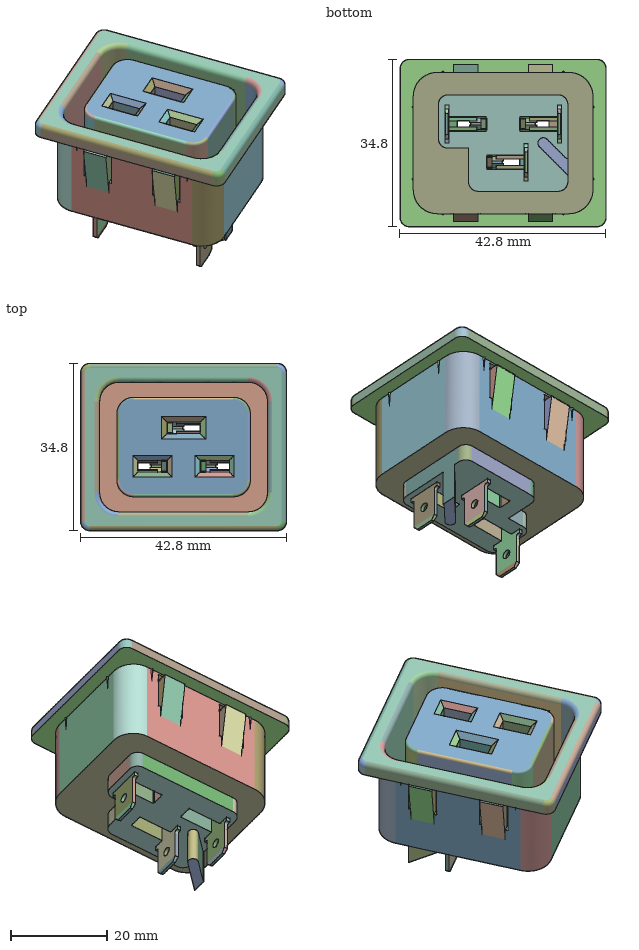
import cadquery as cq
import math

FLANGE_X = 42.8
FLANGE_Y = 34.8
FLANGE_THICK = 3.0
FLANGE_CORNER = 1.95
EDGE_ROUND = 1.0

BODY_X = 37.32
BODY_Y = 29.35
BODY_CORNER = 5.0
BODY_BOTTOM = -23.03
WALL = 1.25

CAVITY_X = BODY_X - 2 * WALL
CAVITY_Y = BODY_Y - 2 * WALL
CAVITY_CORNER = 4.0
CAVITY_FLOOR = BODY_BOTTOM + WALL

CORE_X = 27.75
CORE_Y = 20.67
CORE_CORNER = 3.5
CORE_ROUND = 0.5

BLOCK_X = 26.88
BLOCK_Y = 20.05
BLOCK_CORNER = 2.0
BLOCK_BOTTOM = -27.05
NOTCH_FRONT = 1.05
NOTCH_RIGHT = -7.2

BARRIER_NOSE_X = 7.25
BARRIER_RADIUS = 1.1
BARRIER_LIP = 0.3
BARRIER_BOTTOM = -35.52

SNAP_X = 7.75
SNAP_WIDTH = 5.05
SNAP_TOP = -4.5
SNAP_FOOT = -15.25
SNAP_REACH = 1.63
WINDOW_WIDTH = 6.15
WINDOW_TOP = -3.5
WINDOW_BOTTOM = -12.5

RIB_X = 12.5
RIB_Y = 7.5
RIB_HALF_WIDTH = 0.28
RIB_HEIGHT = 0.25
RIB_TIP = -6.3

ROW_Y = 4.0
LOWER_SLOT_X = 6.45
LOWER_SLOT_LENGTH = 6.05
LOWER_SLOT_BEVEL = 1.03
EARTH_SLOT_LENGTH = 6.9
EARTH_SLOT_BEVEL = 1.15
SLOT_WIDTH = 2.4

TAB_THICK = 0.8
TAB_WIDTH = 6.2
TAB_BOTTOM = -36.0
TAB_BEVEL = 0.95
TAB_TIP_STEP = 0.13
HOLE_DIAMETER = 1.93
HOLE_Z = -31.45
SHOULDER_WIDTH = 7.88
SHOULDER_BOTTOM = -28.0
SHOULDER_ROUND = 0.43
STEM_TOP = -12.85

LOWER_TAB_X = 11.7
EARTH_TAB_X = 4.8

WEB_START = -8.17
WEB_END = -7.05
WEB_HALF_WIDTH = 1.03
WEB_TOP = -12.0
SPRING_TOP = -14.2
SHEET = 0.4
MOUTH_END = -6.25
TONGUE_END = -4.65
MOUTH_HALF_WIDTH = 1.25
ARM_OUTER = 1.35
ARM_CREASE = 0.9
ARM_INNER = 0.65
ARM_LIP_DROP = 0.13
ARM_HEIGHT = 1.7
TROUGH_HALF_WIDTH = 0.25
TROUGH_DEPTH = 0.85
NOTCH_LENGTH = 0.3
PASSAGE_HALF_WIDTH = 1.55

TERMINAL_PLACES = [
    (-LOWER_TAB_X, -ROW_Y, 180),
    (LOWER_TAB_X, -ROW_Y, 0),
    (EARTH_TAB_X, ROW_Y, 0),
]
SLOTS = [
    (-LOWER_SLOT_X, -ROW_Y, LOWER_SLOT_LENGTH, LOWER_SLOT_BEVEL),
    (LOWER_SLOT_X, -ROW_Y, LOWER_SLOT_LENGTH, LOWER_SLOT_BEVEL),
    (0, ROW_Y, EARTH_SLOT_LENGTH, EARTH_SLOT_BEVEL),
]


def span_box(x0, x1, y0, y1, z0, z1):
    """Box between two limits on each axis."""
    return cq.Workplane("XY").box(x1 - x0, y1 - y0, z1 - z0, centered=False).translate((x0, y0, z0))


def rounded_block(length, width, corner, bottom, top):
    """Upright block centred on the Z axis with rounded vertical edges."""
    block = cq.Workplane("XY").workplane(offset=bottom).rect(length, width).extrude(top - bottom)
    return block.edges("|Z").fillet(corner)


def placed(shape, place):
    """Turn and move a shape built around a tab at the origin to one of the terminal places."""
    x, y, turn = place
    return shape.rotate((0, 0, 0), (0, 0, 1), turn).translate((x, y, 0))


def make_shell():
    """Flanged body with its open cavity."""
    flange = rounded_block(FLANGE_X, FLANGE_Y, FLANGE_CORNER, -FLANGE_THICK, 0)
    flange = flange.faces(">Z").edges().fillet(EDGE_ROUND)
    body = rounded_block(BODY_X, BODY_Y, BODY_CORNER, BODY_BOTTOM, -FLANGE_THICK)
    cavity = rounded_block(CAVITY_X, CAVITY_Y, CAVITY_CORNER, CAVITY_FLOOR, 0)
    shell = flange.union(body).cut(cavity)
    mouth = cq.selectors.BoxSelector(
        (-BODY_X / 2, -BODY_Y / 2, -EDGE_ROUND / 2),
        (BODY_X / 2, BODY_Y / 2, EDGE_ROUND / 2),
    )
    return shell.faces(">Z").edges(mouth).fillet(EDGE_ROUND)


def make_core():
    """Island in the cavity that carries the blade slots."""
    core = rounded_block(CORE_X, CORE_Y, CORE_CORNER, BODY_BOTTOM, 0)
    return core.faces(">Z").edges().fillet(CORE_ROUND)


def make_terminal_block():
    """Block below the body with its -X, +Y corner cut back."""
    half_x = BLOCK_X / 2
    half_y = BLOCK_Y / 2
    outline = [
        (-half_x, -half_y),
        (half_x, -half_y),
        (half_x, half_y),
        (NOTCH_RIGHT, half_y),
        (NOTCH_RIGHT, NOTCH_FRONT),
        (-half_x, NOTCH_FRONT),
    ]
    block = cq.Workplane("XY").workplane(offset=BLOCK_BOTTOM).polyline(outline).close()
    block = block.extrude(BODY_BOTTOM - BLOCK_BOTTOM)
    upright_edges = cq.selectors.StringSyntaxSelector("|Z")
    middle_z = (BLOCK_BOTTOM + BODY_BOTTOM) / 2
    inner_corner = cq.selectors.NearestToPointSelector((NOTCH_RIGHT, NOTCH_FRONT, middle_z))
    return block.edges(upright_edges - inner_corner).fillet(BLOCK_CORNER)


def make_barrier():
    """Round-nosed diagonal wall that separates the earth tab from the +X tab."""
    slant = BARRIER_RADIUS * math.sqrt(0.5)
    nose_x = BARRIER_NOSE_X + BARRIER_RADIUS
    end_x = BLOCK_X / 2
    lip_x = end_x - BARRIER_LIP
    lip_y = lip_x - nose_x - 2 * slant
    rear_y = end_x - nose_x + 2 * slant
    barrier = (
        cq.Workplane("XY").workplane(offset=BARRIER_BOTTOM)
        .moveTo(nose_x - slant, slant)
        .threePointArc((nose_x - slant, -slant), (nose_x + slant, -slant))
        .lineTo(lip_x, lip_y)
        .lineTo(end_x, lip_y)
        .lineTo(end_x, rear_y)
        .close()
    )
    return barrier.extrude(BLOCK_BOTTOM - BARRIER_BOTTOM)


def make_snap_window():
    """Opening in the -Y wall around one snap finger."""
    half = WINDOW_WIDTH / 2
    outer = -BODY_Y / 2
    return span_box(-half, half, outer, outer + WALL, WINDOW_BOTTOM, WINDOW_TOP)


def make_snap_finger():
    """Wedge-shaped finger of the -Y wall, free at its top end."""
    outer = -BODY_Y / 2
    profile = [
        (outer + WALL, SNAP_TOP),
        (outer - SNAP_REACH, SNAP_TOP),
        (outer, SNAP_FOOT),
        (outer + WALL, SNAP_FOOT),
    ]
    return cq.Workplane("YZ").polyline(profile).close().extrude(SNAP_WIDTH / 2, both=True)


def make_crush_rib():
    """Tapered rib pointing to -Y from a wall at Y = 0, ending in a tip on the wall."""
    base = [(-RIB_HALF_WIDTH, 0), (0, -RIB_HEIGHT), (RIB_HALF_WIDTH, 0)]
    corners = [cq.Vector(x, y, -FLANGE_THICK) for x, y in base]
    tip = cq.Vector(0, 0, RIB_TIP)
    triangles = [
        (corners[0], corners[1], corners[2]),
        (corners[0], corners[1], tip),
        (corners[1], corners[2], tip),
        (corners[2], corners[0], tip),
    ]
    faces = [cq.Face.makeFromWires(cq.Wire.makePolygon(points, close=True)) for points in triangles]
    return cq.Workplane(cq.Solid.makeSolid(cq.Shell.makeShell(faces)))


def make_slot(length, bevel):
    """Blade slot with a 45 degree bevelled mouth, down to the contact pocket."""
    slot = span_box(-length / 2, length / 2, -SLOT_WIDTH / 2, SLOT_WIDTH / 2, BLOCK_BOTTOM, 0)
    mouth = (
        cq.Workplane("XY").rect(length + 2 * bevel, SLOT_WIDTH + 2 * bevel)
        .workplane(offset=-bevel).rect(length, SLOT_WIDTH).loft(ruled=True)
    )
    return slot.union(mouth)


def make_terminal_pocket():
    """Room for one terminal: a passage for the spring and a close slit for the tab stem."""
    face = TAB_THICK / 2
    half = PASSAGE_HALF_WIDTH
    passage = span_box(WEB_START, face, -half, half, BLOCK_BOTTOM, WEB_TOP)
    slit = span_box(-face, face, -SHOULDER_WIDTH / 2, SHOULDER_WIDTH / 2, BLOCK_BOTTOM, STEM_TOP)
    return passage.union(slit)


def make_housing():
    """Whole moulded housing with its wall features, blade slots and terminal pockets."""
    housing = make_shell().union(make_core()).union(make_terminal_block()).union(make_barrier())
    for turn in (0, 180):
        for side in (-1, 1):
            window = make_snap_window().translate((side * SNAP_X, 0, 0))
            finger = make_snap_finger().translate((side * SNAP_X, 0, 0))
            long_rib = make_crush_rib().translate((side * RIB_X, -BODY_Y / 2, 0))
            short_rib = make_crush_rib().translate((side * RIB_Y, -BODY_X / 2, 0))
            short_rib = short_rib.rotate((0, 0, 0), (0, 0, 1), 90)
            housing = housing.cut(window.rotate((0, 0, 0), (0, 0, 1), turn))
            for added in (finger, long_rib, short_rib):
                housing = housing.union(added.rotate((0, 0, 0), (0, 0, 1), turn))
    for x, y, length, bevel in SLOTS:
        housing = housing.cut(make_slot(length, bevel).translate((x, y, 0)))
    for place in TERMINAL_PLACES:
        housing = housing.cut(placed(make_terminal_pocket(), place))
    return housing


def make_tab():
    """Flat tab with shoulders, bevelled end and hole, in the plane X = 0."""
    half_tab = TAB_WIDTH / 2
    half_stem = SHOULDER_WIDTH / 2
    bevel_z = TAB_BOTTOM + TAB_BEVEL
    fillet_z = SHOULDER_BOTTOM - SHOULDER_ROUND
    fillet_y = half_tab + SHOULDER_ROUND
    arc_sag = SHOULDER_ROUND * (1 - math.sqrt(0.5))
    tab = (
        cq.Workplane("YZ")
        .moveTo(-half_stem, STEM_TOP)
        .lineTo(-half_stem, SHOULDER_BOTTOM)
        .lineTo(-fillet_y, SHOULDER_BOTTOM)
        .threePointArc((-half_tab - arc_sag, SHOULDER_BOTTOM - arc_sag), (-half_tab, fillet_z))
        .lineTo(-half_tab, bevel_z)
        .lineTo(-half_tab + TAB_BEVEL, TAB_BOTTOM)
        .lineTo(half_tab - TAB_BEVEL, TAB_BOTTOM)
        .lineTo(half_tab, bevel_z)
        .lineTo(half_tab, fillet_z)
        .threePointArc((half_tab + arc_sag, SHOULDER_BOTTOM - arc_sag), (fillet_y, SHOULDER_BOTTOM))
        .lineTo(half_stem, SHOULDER_BOTTOM)
        .lineTo(half_stem, STEM_TOP)
        .close()
        .extrude(TAB_THICK / 2, both=True)
    )
    hole = cq.Workplane("YZ").center(0, HOLE_Z).circle(HOLE_DIAMETER / 2).extrude(TAB_THICK, both=True)
    face = TAB_THICK / 2
    tip = [(face, bevel_z), (face, TAB_BOTTOM), (face - TAB_TIP_STEP, TAB_BOTTOM)]
    tip_cut = cq.Workplane("XZ").polyline(tip).close().extrude(half_tab, both=True)
    return tab.cut(hole).cut(tip_cut).cut(tip_cut.mirror("YZ"))


def make_web():
    """Steep sheet that closes the far end of the spring."""
    profile = [
        (WEB_START, WEB_TOP),
        (WEB_END, SPRING_TOP),
        (WEB_END, SPRING_TOP - TROUGH_DEPTH),
        (WEB_START, WEB_TOP - TROUGH_DEPTH),
    ]
    return cq.Workplane("XZ").polyline(profile).close().extrude(WEB_HALF_WIDTH, both=True)


def make_spring():
    """V-shaped sheet with a flat floor: a wide mouth at the web and a narrower tongue."""
    floor_z = SPRING_TOP - TROUGH_DEPTH
    profile = [
        (-MOUTH_HALF_WIDTH, SPRING_TOP),
        (-TROUGH_HALF_WIDTH, floor_z),
        (TROUGH_HALF_WIDTH, floor_z),
        (MOUTH_HALF_WIDTH, SPRING_TOP),
        (MOUTH_HALF_WIDTH, SPRING_TOP - SHEET),
        (TROUGH_HALF_WIDTH, floor_z - SHEET),
        (-TROUGH_HALF_WIDTH, floor_z - SHEET),
        (-MOUTH_HALF_WIDTH, SPRING_TOP - SHEET),
    ]
    sheet = cq.Workplane("YZ").workplane(offset=WEB_END).polyline(profile).close()
    sheet = sheet.extrude(TONGUE_END - WEB_END)
    bottom = floor_z - SHEET
    side = span_box(MOUTH_END, TONGUE_END, ARM_INNER, MOUTH_HALF_WIDTH, bottom, SPRING_TOP)
    notch = span_box(
        TONGUE_END - NOTCH_LENGTH, TONGUE_END,
        -TROUGH_HALF_WIDTH, TROUGH_HALF_WIDTH, bottom, SPRING_TOP,
    )
    return sheet.cut(side).cut(side.mirror("XZ")).cut(notch)


def make_arm():
    """Side arm on the +Y side, with a creased upper face, that joins the spring to the tab."""
    crease_z = SPRING_TOP - (ARM_OUTER - ARM_CREASE)
    profile = [
        (ARM_INNER, SPRING_TOP - ARM_HEIGHT),
        (ARM_OUTER, SPRING_TOP - ARM_HEIGHT),
        (ARM_OUTER, SPRING_TOP),
        (ARM_CREASE, crease_z),
        (ARM_INNER, crease_z - ARM_LIP_DROP),
    ]
    arm = cq.Workplane("YZ").workplane(offset=MOUTH_END).polyline(profile).close()
    return arm.extrude(-MOUTH_END)


def make_terminal():
    """Tab, two arms, spring and web as one bent-sheet contact."""
    arm = make_arm()
    return make_tab().union(arm).union(arm.mirror("XZ")).union(make_web()).union(make_spring())


housing = make_housing()
terminals = [placed(make_terminal(), place) for place in TERMINAL_PLACES]

result = cq.Compound.makeCompound([housing.val(), *[terminal.val() for terminal in terminals]])